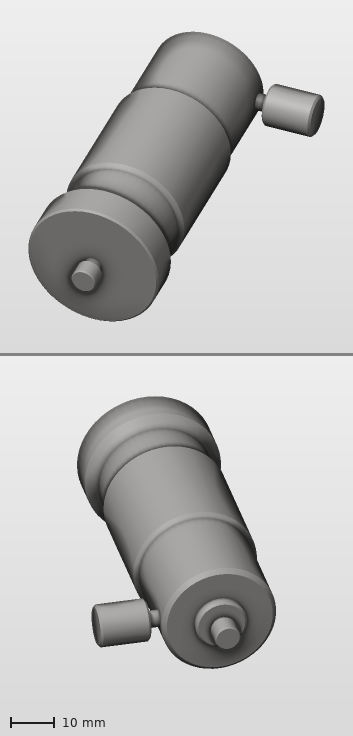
import cadquery as cq

total_length = 87.0

flange_radius = 16.0
barrel_radius = 13.5
sleeve_radius = 14.5
collar_radius = 6.0
tip_radius = 3.0
neck_radius = 2.3

front_tip_length = 4.0
flange_start = 6.0
flange_cone_start = 14.0
flange_cone_end = flange_cone_start + flange_radius - barrel_radius

sleeve_start = 25.05
sleeve_end = total_length - 31.0
sleeve_bevel = sleeve_radius - barrel_radius

barrel_end = total_length - 8.0
collar_end = total_length - 6.0
rear_tip_start = total_length - 4.5

barrel_chamfer = 1.05
flange_chamfer = 0.4
collar_chamfer = 0.5
tip_chamfer = 0.3

knob_y = total_length - 12.35
knob_radius = 5.0
knob_start = 16.1
knob_end = 28.0
knob_chamfer = 0.5
stem_radius = 2.0


def build_body():
    """Revolve the half profile, given as (radius, y), about the Y axis."""
    profile = [
        (0, 0),
        (tip_radius - tip_chamfer, 0),
        (tip_radius, tip_chamfer),
        (tip_radius, front_tip_length),
        (neck_radius, front_tip_length),
        (neck_radius, flange_start),
        (flange_radius - flange_chamfer, flange_start),
        (flange_radius, flange_start + flange_chamfer),
        (flange_radius, flange_cone_start),
        (barrel_radius, flange_cone_end),
        (barrel_radius, sleeve_start),
        (sleeve_radius, sleeve_start + sleeve_bevel),
        (sleeve_radius, sleeve_end - sleeve_bevel),
        (barrel_radius, sleeve_end),
        (barrel_radius, barrel_end - barrel_chamfer),
        (barrel_radius - barrel_chamfer, barrel_end),
        (collar_radius, barrel_end),
        (collar_radius, collar_end - collar_chamfer),
        (collar_radius - collar_chamfer, collar_end),
        (neck_radius, collar_end),
        (neck_radius, rear_tip_start),
        (tip_radius, rear_tip_start),
        (tip_radius, total_length - tip_chamfer),
        (tip_radius - tip_chamfer, total_length),
        (0, total_length),
    ]
    return cq.Workplane("XY").polyline(profile).close().revolve(360, (0, 0), (0, 1))


def build_side_knob():
    """Chamfered knob carried on a stem that is rooted in the barrel axis."""
    knob = (
        cq.Workplane("YZ", origin=(knob_start, knob_y, 0))
        .circle(knob_radius)
        .extrude(knob_end - knob_start)
        .edges()
        .chamfer(knob_chamfer)
    )
    stem = cq.Workplane("YZ", origin=(0, knob_y, 0)).circle(stem_radius).extrude(knob_start)
    return knob.union(stem)


result = build_body().union(build_side_knob())